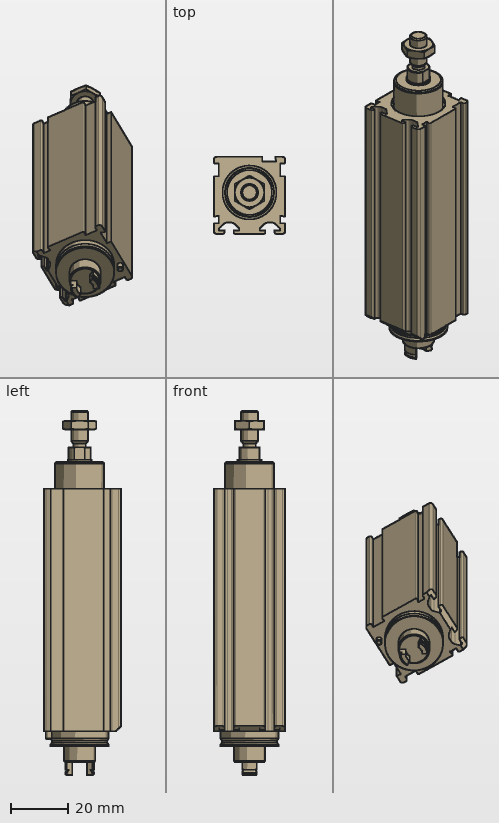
import cadquery as cq
import math


HOUSING_LENGTH = 84.9
HALF_WIDTH = 12.5
BACK_Y = 12.5
FRONT_Y = -14.5
CORNER_RADIUS = 1.0
FOOT_CHAMFER = 1.9
EDGE_SEARCH_REACH = 0.06

SIDE_GROOVE_DEPTH = 1.7
SIDE_GROOVE_TOP_Y = 10.1
SIDE_GROOVE_BOTTOM_Y = 5.7
SIDE_GROOVE_TOP_RADIUS = 0.6
SIDE_GROOVE_BOTTOM_RADIUS = 0.4

LOW_GROOVE_MOUTH_TOP_Y = -8.5
LOW_GROOVE_FLOOR_TOP_Y = -8.2
LOW_GROOVE_BOTTOM_Y = -10.7
LOW_GROOVE_TOP_RADIUS = 0.4
LOW_GROOVE_BOTTOM_RADIUS = 0.5

BACK_NOTCH_DEPTH = 1.7
BACK_NOTCH_LEFT = 4.5
BACK_NOTCH_RIGHT = 8.9
BACK_NOTCH_UNDERCUT = 0.4

T_SLOT_X = 7.1
T_SLOT_MOUTH_WIDTH = 3.2
T_SLOT_LIP = 1.3
T_SLOT_LIP_RADIUS = 0.6
T_SLOT_WIDTH = 7.0
T_SLOT_SIDE_HEIGHT = 0.6
T_SLOT_SLOPE = 2.0
T_SLOT_ROOF_RADIUS = 1.9

RECESS_DIAMETER = 18.9
RECESS_DEPTH = 1.3
NOSE_DIAMETER = 17.2
NOSE_HEIGHT = 9.4
NOSE_BEVEL_WIDTH = 0.1
NOSE_BEVEL_HEIGHT = 0.4
NOSE_CHAMFER_WIDTH = 0.6
NOSE_CHAMFER_HEIGHT = 0.4
WIPER_DIAMETER = 8.4
WIPER_HEIGHT = 0.6

ROD_DIAMETER = 7.9
ROD_FLATS = 7.0
ROD_SHOULDER_HEIGHT = 14.5
ROD_SHOULDER_CHAMFER = 0.3
NECK_DIAMETER = 4.5
NECK_HEIGHT = 1.1
THREAD_DIAMETER = 6.0
THREAD_RUNOUT = 1.0
THREAD_CHAMFER = 0.5
ROD_TOP_HEIGHT = 27.3

NUT_FLATS = 10.2
NUT_THICKNESS = 3.0
NUT_BOTTOM_HEIGHT = 20.7
NUT_CHAMFER_ANGLE = 20.0

CAP_DIAMETER = 20.4
CAP_BAND_HEIGHT = 2.4
CAP_HEIGHT = 5.1
CAP_GROOVE_DIAMETER = 19.4
CAP_GROOVE_TAPER = 0.8
CAP_LIP_HEIGHT = 0.4

CONNECTOR_DIAMETER = 11.0
CONNECTOR_LENGTH = 5.6
CONNECTOR_CHAMFER = 0.4
PRONG_OUTER_RADIUS = 5.1
PRONG_INNER_RADIUS = 2.9
PRONG_LENGTH = 4.6
PRONG_HALF_ANGLE = 30.0
PRONG_GROOVE_DEPTH = 0.8
PRONG_GROOVE_START = 2.7
PRONG_GROOVE_END = 3.7
PRONG_TIP_CHAMFER = 0.5

PIN_DIAMETER = 2.0
PIN_LENGTH = 2.7
PIN_CHAMFER = 0.3
PIN_X = -5.7
PIN_Y = 10.8

RECESS_FLOOR_Z = HOUSING_LENGTH - RECESS_DEPTH
COVER_TOP_Z = HOUSING_LENGTH + NOSE_HEIGHT
WIPER_TOP_Z = COVER_TOP_Z + WIPER_HEIGHT


def cylinder(diameter, bottom_z, top_z):
    return cq.Workplane("XY").workplane(offset=bottom_z).circle(diameter / 2).extrude(top_z - bottom_z)


def revolved(points):
    """Solid of revolution about Z from (radius, z) points."""
    return cq.Workplane("XZ").polyline(points).close().revolve(360, (0, 0, 0), (0, 1, 0))


def housing_prism(points):
    return cq.Workplane("XY").polyline(points).close().extrude(HOUSING_LENGTH)


def round_edges(body, places, radius):
    """Round the lengthwise edges that pass through the given (x, y) places."""
    reach = EDGE_SEARCH_REACH
    for x, y in places:
        box = cq.selectors.BoxSelector((x - reach, y - reach, 0), (x + reach, y + reach, HOUSING_LENGTH))
        body = body.edges("|Z").edges(box).fillet(radius)
    return body


def side_channel(side, mouth_top_y, floor_top_y, bottom_y):
    """Lengthwise channel in one side face, as deep as all the side grooves."""
    floor_x = side * (HALF_WIDTH - SIDE_GROOVE_DEPTH)
    mouth_x = side * HALF_WIDTH
    return housing_prism([
        (mouth_x, mouth_top_y),
        (floor_x, floor_top_y),
        (floor_x, bottom_y),
        (mouth_x, bottom_y),
    ])


def side_groove(side):
    return side_channel(side, SIDE_GROOVE_TOP_Y, SIDE_GROOVE_TOP_Y, SIDE_GROOVE_BOTTOM_Y)


def low_groove(side):
    return side_channel(side, LOW_GROOVE_MOUTH_TOP_Y, LOW_GROOVE_FLOOR_TOP_Y, LOW_GROOVE_BOTTOM_Y)


def back_notch():
    floor_y = BACK_Y - BACK_NOTCH_DEPTH
    return housing_prism([
        (BACK_NOTCH_LEFT, BACK_Y),
        (BACK_NOTCH_LEFT, floor_y),
        (BACK_NOTCH_RIGHT + BACK_NOTCH_UNDERCUT, floor_y),
        (BACK_NOTCH_RIGHT, BACK_Y),
    ])


def t_slot(side):
    """Slot with a rounded roof on 45 degree slopes, open to the front through a narrower mouth."""
    lip_y = FRONT_Y + T_SLOT_LIP
    slope_foot_y = lip_y + T_SLOT_SIDE_HEIGHT
    roof_y = slope_foot_y + T_SLOT_SLOPE
    half_width = T_SLOT_WIDTH / 2
    half_roof = half_width - T_SLOT_SLOPE
    half_mouth = T_SLOT_MOUTH_WIDTH / 2
    right_half = [
        (half_mouth, FRONT_Y),
        (half_mouth, lip_y),
        (half_width, lip_y),
        (half_width, slope_foot_y),
        (half_roof, roof_y),
    ]
    left_half = [(-x, y) for x, y in reversed(right_half)]
    slot = housing_prism(right_half + left_half)
    slot = round_edges(slot, [(-half_roof, roof_y), (half_roof, roof_y)], T_SLOT_ROOF_RADIUS)
    return slot.translate((side * T_SLOT_X, 0, 0))


def make_housing():
    body = housing_prism([
        (-HALF_WIDTH, FRONT_Y),
        (HALF_WIDTH, FRONT_Y),
        (HALF_WIDTH, BACK_Y),
        (-HALF_WIDTH, BACK_Y),
    ])
    body = body.cut(back_notch())
    corners = []
    groove_tops = []
    groove_bottoms = []
    low_groove_tops = []
    low_groove_bottoms = []
    lips = []
    for side in (-1, 1):
        body = body.cut(side_groove(side)).cut(low_groove(side)).cut(t_slot(side))
        edge_x = side * HALF_WIDTH
        corners += [(edge_x, FRONT_Y), (edge_x, BACK_Y)]
        groove_tops.append((edge_x, SIDE_GROOVE_TOP_Y))
        groove_bottoms.append((edge_x, SIDE_GROOVE_BOTTOM_Y))
        low_groove_tops.append((edge_x, LOW_GROOVE_MOUTH_TOP_Y))
        low_groove_bottoms.append((edge_x, LOW_GROOVE_BOTTOM_Y))
        lips += [(side * T_SLOT_X + flank * T_SLOT_MOUTH_WIDTH / 2, FRONT_Y) for flank in (-1, 1)]
    body = round_edges(body, corners, CORNER_RADIUS)
    body = round_edges(body, groove_tops, SIDE_GROOVE_TOP_RADIUS)
    body = round_edges(body, groove_bottoms, SIDE_GROOVE_BOTTOM_RADIUS)
    body = round_edges(body, low_groove_tops, LOW_GROOVE_TOP_RADIUS)
    body = round_edges(body, low_groove_bottoms, LOW_GROOVE_BOTTOM_RADIUS)
    body = round_edges(body, lips, T_SLOT_LIP_RADIUS)

    foot_wedge = (
        cq.Workplane("YZ")
        .polyline([(FRONT_Y, 0), (FRONT_Y + FOOT_CHAMFER, 0), (FRONT_Y, FOOT_CHAMFER)])
        .close()
        .extrude(HALF_WIDTH, both=True)
    )
    cover_recess = cylinder(RECESS_DIAMETER, RECESS_FLOOR_Z, HOUSING_LENGTH)
    return body.cut(foot_wedge).cut(cover_recess)


def make_front_cover():
    """Nose standing in the wider housing recess, with a wiper ring around the rod hole."""
    nose_radius = NOSE_DIAMETER / 2
    bevel_radius = nose_radius - NOSE_BEVEL_WIDTH
    chamfer_z = COVER_TOP_Z - NOSE_CHAMFER_HEIGHT
    rod_radius = ROD_DIAMETER / 2
    wiper_radius = WIPER_DIAMETER / 2
    return revolved([
        (rod_radius, RECESS_FLOOR_Z),
        (nose_radius, RECESS_FLOOR_Z),
        (nose_radius, chamfer_z - NOSE_BEVEL_HEIGHT),
        (bevel_radius, chamfer_z),
        (bevel_radius - NOSE_CHAMFER_WIDTH, COVER_TOP_Z),
        (wiper_radius, COVER_TOP_Z),
        (wiper_radius, WIPER_TOP_Z),
        (rod_radius, WIPER_TOP_Z),
    ])


def make_rod():
    shoulder_z = HOUSING_LENGTH + ROD_SHOULDER_HEIGHT
    neck_top_z = shoulder_z + NECK_HEIGHT
    top_z = HOUSING_LENGTH + ROD_TOP_HEIGHT
    rod = revolved([
        (0, RECESS_FLOOR_Z),
        (ROD_DIAMETER / 2, RECESS_FLOOR_Z),
        (ROD_DIAMETER / 2, shoulder_z - ROD_SHOULDER_CHAMFER),
        (ROD_DIAMETER / 2 - ROD_SHOULDER_CHAMFER, shoulder_z),
        (NECK_DIAMETER / 2, shoulder_z),
        (NECK_DIAMETER / 2, neck_top_z),
        (THREAD_DIAMETER / 2, neck_top_z + THREAD_RUNOUT),
        (THREAD_DIAMETER / 2, top_z - THREAD_CHAMFER),
        (THREAD_DIAMETER / 2 - THREAD_CHAMFER, top_z),
        (0, top_z),
    ])
    flats_height = shoulder_z - WIPER_TOP_Z
    for side in (-1, 1):
        flat = cq.Workplane("XY").box(ROD_DIAMETER, ROD_DIAMETER, flats_height, centered=(True, True, False))
        rod = rod.cut(flat.translate((side * (ROD_FLATS + ROD_DIAMETER) / 2, 0, WIPER_TOP_Z)))
    return rod


def make_nut():
    bottom_z = HOUSING_LENGTH + NUT_BOTTOM_HEIGHT
    top_z = bottom_z + NUT_THICKNESS
    corner_radius = NUT_FLATS / math.sqrt(3)
    flat_radius = NUT_FLATS / 2
    chamfer_height = (corner_radius - flat_radius) * math.tan(math.radians(NUT_CHAMFER_ANGLE))
    hexagon = (
        cq.Workplane("XY")
        .workplane(offset=bottom_z)
        .transformed(rotate=(0, 0, 90))
        .polygon(6, 2 * corner_radius)
        .extrude(NUT_THICKNESS)
    )
    chamfer_envelope = revolved([
        (0, bottom_z),
        (flat_radius, bottom_z),
        (corner_radius, bottom_z + chamfer_height),
        (corner_radius, top_z - chamfer_height),
        (flat_radius, top_z),
        (0, top_z),
    ])
    return hexagon.intersect(chamfer_envelope).cut(cylinder(THREAD_DIAMETER, bottom_z, top_z))


def make_rear_cap():
    return revolved([
        (0, 0),
        (CAP_DIAMETER / 2, 0),
        (CAP_DIAMETER / 2, -CAP_BAND_HEIGHT),
        (CAP_GROOVE_DIAMETER / 2, -CAP_BAND_HEIGHT - CAP_GROOVE_TAPER),
        (CAP_GROOVE_DIAMETER / 2, -CAP_HEIGHT + CAP_LIP_HEIGHT + CAP_GROOVE_TAPER),
        (CAP_DIAMETER / 2, -CAP_HEIGHT + CAP_LIP_HEIGHT),
        (CAP_DIAMETER / 2, -CAP_HEIGHT),
        (0, -CAP_HEIGHT),
    ])


def prong_ring(base_z):
    """Full ring, with its snap groove, from which the two prongs are cut."""
    groove_radius = PRONG_OUTER_RADIUS - PRONG_GROOVE_DEPTH
    tip_z = base_z - PRONG_LENGTH
    return revolved([
        (PRONG_INNER_RADIUS, base_z),
        (PRONG_OUTER_RADIUS, base_z),
        (PRONG_OUTER_RADIUS, base_z - PRONG_GROOVE_START),
        (groove_radius, base_z - PRONG_GROOVE_START),
        (PRONG_OUTER_RADIUS, base_z - PRONG_GROOVE_END),
        (PRONG_OUTER_RADIUS, tip_z + PRONG_TIP_CHAMFER),
        (PRONG_OUTER_RADIUS - PRONG_TIP_CHAMFER, tip_z),
        (PRONG_INNER_RADIUS, tip_z),
    ])


def make_connector():
    base_z = -CAP_HEIGHT - CONNECTOR_LENGTH
    connector = cylinder(CONNECTOR_DIAMETER, base_z, -CAP_HEIGHT).faces("<Z").chamfer(CONNECTOR_CHAMFER)
    ring = prong_ring(base_z)
    sector_depth = CONNECTOR_DIAMETER
    sector_half_width = sector_depth * math.tan(math.radians(PRONG_HALF_ANGLE))
    for side in (-1, 1):
        sector = (
            cq.Workplane("XY")
            .workplane(offset=base_z - PRONG_LENGTH)
            .polyline([(0, 0), (sector_half_width, side * sector_depth), (-sector_half_width, side * sector_depth)])
            .close()
            .extrude(PRONG_LENGTH)
        )
        connector = connector.union(ring.intersect(sector))
    return connector


def make_rear_pin():
    pin = cylinder(PIN_DIAMETER, -PIN_LENGTH, 0).faces("<Z").chamfer(PIN_CHAMFER)
    return pin.translate((PIN_X, PIN_Y, 0))


housing = make_housing()
front_cover = make_front_cover()
rod = make_rod()
nut = make_nut()
rear_cap = make_rear_cap()
connector = make_connector()
rear_pin = make_rear_pin()

result = cq.Compound.makeCompound([
    housing.val(),
    front_cover.val(),
    rod.val(),
    nut.val(),
    rear_cap.val(),
    connector.val(),
    rear_pin.val(),
])